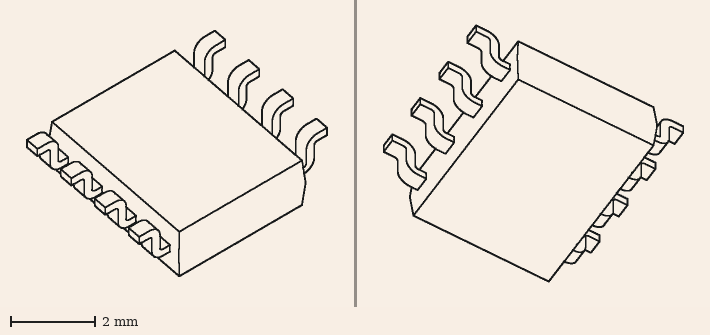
import cadquery as cq

body_length = 4.9
body_width = 3.9
lower_height = 0.765
upper_height = 0.74
taper_inset = 0.065

leads_per_side = 4
lead_pitch = 1.27
lead_width = 0.4
lead_span = 5.78
overall_height = 1.75
root_thickness = 0.22
lead_thickness = 0.25
riser_offset = 0.395
inner_bend_radius = 0.09
outer_bend_radius = inner_bend_radius + lead_thickness
root_overlap = 0.175


def body_half(height):
    """Frustum that shrinks from the parting plane; a negative height points down."""
    return (
        cq.Workplane("XY")
        .workplane(offset=lower_height)
        .rect(body_length, body_width)
        .workplane(offset=height)
        .rect(body_length - 2 * taper_inset, body_width - 2 * taper_inset)
        .loft(ruled=True)
    )


def lead(x_center):
    """One S-shaped lead on the +Y side, with its root buried in the body."""
    root_y = body_width / 2 - root_overlap
    tip_y = lead_span / 2
    riser_outer_y = tip_y - riser_offset
    riser_inner_y = riser_outer_y - lead_thickness
    root_bottom = lower_height - root_thickness / 2
    root_top = lower_height + root_thickness / 2
    foot_bottom = overall_height - lead_thickness

    return (
        cq.Workplane("YZ")
        .workplane(offset=x_center - lead_width / 2)
        .moveTo(root_y, root_bottom)
        .lineTo(riser_outer_y - outer_bend_radius, root_bottom)
        .radiusArc((riser_outer_y, root_bottom + outer_bend_radius), -outer_bend_radius)
        .lineTo(riser_outer_y, foot_bottom - inner_bend_radius)
        .radiusArc((riser_outer_y + inner_bend_radius, foot_bottom), inner_bend_radius)
        .lineTo(tip_y, foot_bottom)
        .lineTo(tip_y, overall_height)
        .lineTo(riser_inner_y + outer_bend_radius, overall_height)
        .radiusArc((riser_inner_y, overall_height - outer_bend_radius), -outer_bend_radius)
        .lineTo(riser_inner_y, root_top + inner_bend_radius)
        .radiusArc((riser_inner_y - inner_bend_radius, root_top), inner_bend_radius)
        .lineTo(root_y, root_top)
        .close()
        .extrude(lead_width)
    )


result = body_half(upper_height).union(body_half(-lower_height))

first_lead_x = -lead_pitch * (leads_per_side - 1) / 2
for index in range(leads_per_side):
    back_lead = lead(first_lead_x + index * lead_pitch)
    result = result.union(back_lead).union(back_lead.mirror("XZ"))